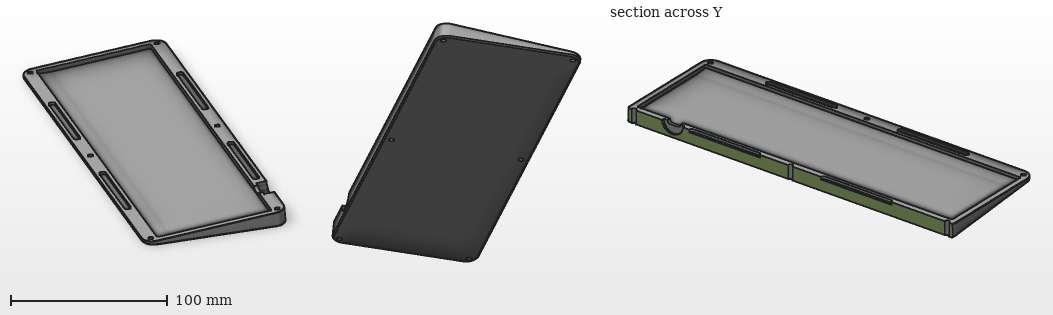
import cadquery as cq
import math

tilt = 5.0
width = 253.0
depth = 96.0
total_depth = 96.5
back_height = 11.1
corner_radius = 8.0
base_chamfer = 1.0
rim_chamfer = 0.3

tray_width = 244.3
tray_depth = 77.1
tray_recess = 3.3
tray_corner_radius = 1.0
base_thickness = 1.2

hole_diameter = 3.3
hole_column_x = 121.5
hole_row_y = 42.7

slot_length = 54.5
slot_width = 4.3
slot_recess = 2.0
slot_centre_x = 51.0
slot_row_y = 43.2

cable_x = 91.5
plug_diameter = 16.0
plug_end_y = 41.2
socket_width = 10.0
socket_height = 4.5

margin = 25.3

slope = math.radians(tilt)
top_centre_y = (depth * math.cos(slope) - total_depth) / 2
top_centre_z = back_height - depth / 2 * math.sin(slope)
top_plane = cq.Plane(
    origin=(0, top_centre_y, top_centre_z),
    xDir=(1, 0, 0),
    normal=(0, -math.sin(slope), math.cos(slope)),
)
square_to_top = cq.selectors.ParallelDirSelector(top_plane.zDir)
sloping_top = cq.selectors.DirectionMinMaxSelector(top_plane.zDir)


def on_top():
    return cq.Workplane(top_plane)


def above(height):
    """Large block that fills the space above the given Z."""
    return (
        cq.Workplane("XY", origin=(0, 0, height))
        .rect(width + margin, total_depth + margin)
        .extrude(back_height + margin)
    )


def wedge():
    """Rounded plate square to the top face, cut off flat at Z = 0, with both rims chamfered."""
    plate = (
        on_top()
        .rect(width, depth)
        .extrude(-back_height - margin)
        .edges(square_to_top)
        .fillet(corner_radius)
    )
    body = plate.intersect(above(0)).faces("<Z").chamfer(base_chamfer)
    return body.faces(sloping_top).chamfer(rim_chamfer)


def tray():
    """Pocket parallel to the top face, levelling out where the base gets thin."""
    pocket = (
        on_top()
        .rect(tray_width, tray_depth)
        .extrude(-tray_recess)
        .edges(square_to_top)
        .fillet(tray_corner_radius)
    )
    return pocket.intersect(above(base_thickness))


def screw_holes():
    points = [(x, y) for x in (-hole_column_x, 0, hole_column_x) for y in (-hole_row_y, hole_row_y)]
    return on_top().pushPoints(points).circle(hole_diameter / 2).extrude(-back_height - margin)


def rim_slots():
    points = [(x, y) for x in (-slot_centre_x, slot_centre_x) for y in (-slot_row_y, slot_row_y)]
    return on_top().pushPoints(points).slot2D(slot_length, slot_width).extrude(-slot_recess)


def cable_plane(y):
    """Plane square to the top face, centred on the cable entry, facing down the slope."""
    origin = top_plane.toWorldCoords((cable_x, y, 0))
    return cq.Workplane(cq.Plane(origin=origin, xDir=(1, 0, 0), normal=-top_plane.yDir))


def cable_entry():
    """Half-round plug recess from the back, then a flat round-ended socket into the tray."""
    plug = cable_plane(plug_end_y).circle(plug_diameter / 2).extrude(-margin)
    socket_length = plug_end_y - tray_depth / 2
    socket = cable_plane(plug_end_y).slot2D(socket_width, socket_height).extrude(socket_length)
    return plug.union(socket)


result = wedge()
for cutter in (tray(), screw_holes(), rim_slots(), cable_entry()):
    result = result.cut(cutter)